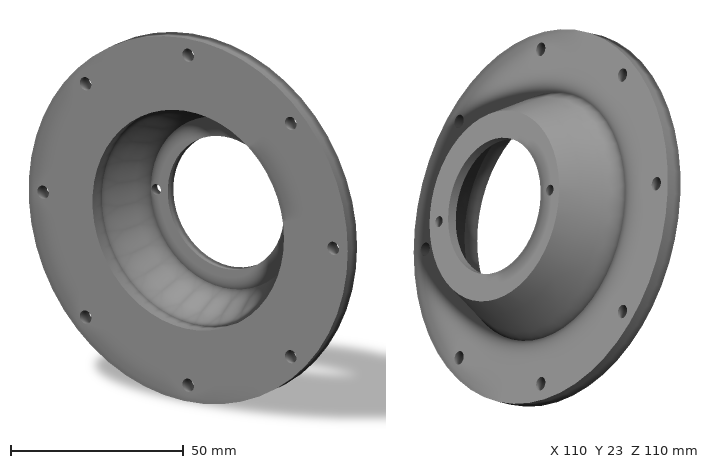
import cadquery as cq

flange_diameter = 110.0
flange_thickness = 5.0
bolt_circle_diameter = 100.0
bolt_hole_diameter = 4.0
bolt_count = 8

total_depth = 23.0
hub_base_diameter = 73.0
hub_end_diameter = 56.1
recess_mouth_diameter = 66.0
recess_floor_diameter = 51.7
floor_thickness = 3.0
bore_diameter = 40.0

floor_hole_diameter = 3.2
floor_hole_spacing = 48.0

recess_depth = total_depth - floor_thickness


def revolved_body():
    """Flange and hub as one wall profile (radius, Y) turned about the Y axis."""
    profile = [
        (recess_mouth_diameter / 2, 0),
        (flange_diameter / 2, 0),
        (flange_diameter / 2, flange_thickness),
        (hub_base_diameter / 2, flange_thickness),
        (hub_end_diameter / 2, total_depth),
        (bore_diameter / 2, total_depth),
        (bore_diameter / 2, recess_depth),
        (recess_floor_diameter / 2, recess_depth),
        (recess_mouth_diameter / 2, flange_thickness),
    ]
    return cq.Workplane("XY").polyline(profile).close().revolve(360, (0, 0, 0), (0, 1, 0))


def hole_ring(circle_diameter, hole_diameter, count):
    """Evenly spaced cylinders along Y, starting on the X axis, longer than the part is deep."""
    return (
        cq.Workplane("XZ")
        .polarArray(circle_diameter / 2, 0, 360, count)
        .circle(hole_diameter / 2)
        .extrude(total_depth, both=True)
    )


bolt_holes = hole_ring(bolt_circle_diameter, bolt_hole_diameter, bolt_count)
floor_holes = hole_ring(floor_hole_spacing, floor_hole_diameter, 2)

result = revolved_body().cut(bolt_holes).cut(floor_holes)